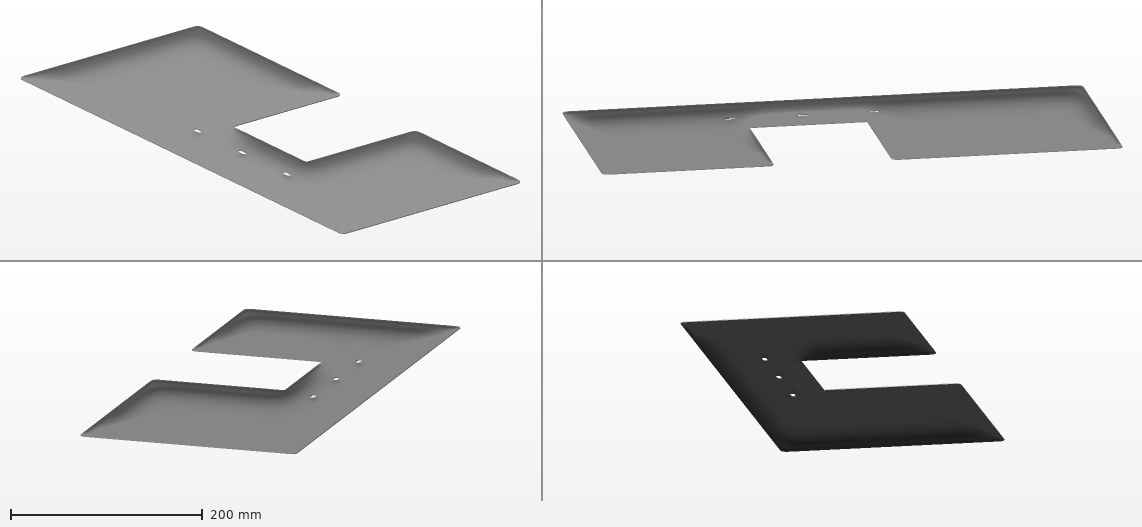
import cadquery as cq

length = 552.5
width = 238.0
thickness = 0.85
corner_radius = 6.5

notch_center_x = 307.5
notch_width = 125.0
notch_depth = 145.0

slot_spacing = 76.0
slot_length = 12.0
slot_width = 5.0
slot_y = 57.5

notch_left = notch_center_x - notch_width / 2
notch_right = notch_center_x + notch_width / 2
notch_floor = width - notch_depth


def make_plate():
    """Notched plate with every outer corner rounded; the notch floor corners stay sharp."""
    outline = [
        (0, 0),
        (length, 0),
        (length, width),
        (notch_right, width),
        (notch_right, notch_floor),
        (notch_left, notch_floor),
        (notch_left, width),
        (0, width),
    ]
    plate = cq.Workplane("XY").polyline(outline).close().extrude(thickness)
    outer_corners = plate.edges("|Z and (<Y or >Y)")
    return outer_corners.fillet(corner_radius)


def make_slots():
    """Three through slots lying along X."""
    centers = [(notch_center_x + i * slot_spacing, slot_y) for i in (-1, 0, 1)]
    return cq.Workplane("XY").pushPoints(centers).slot2D(slot_length, slot_width).extrude(thickness)


result = make_plate().cut(make_slots())